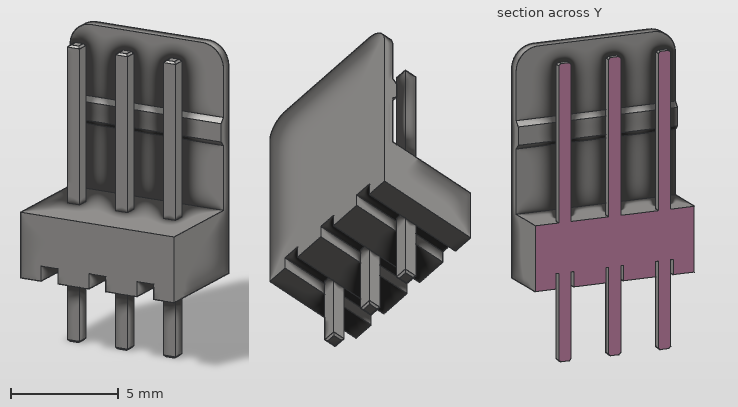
import cadquery as cq

pin_count = 3
pin_pitch = 2.54
pin_size = 0.64
pin_tip_chamfer = 0.1
pin_below_body = 3.54
pin_length = 14.42

body_width = 8.13
body_depth = 5.3
body_height = 3.2
body_back = 2.65
body_front = body_back - body_depth

slot_width = 0.89
slot_height = 0.74

wall_top = 11.2
wall_thickness = 0.52
wall_corner_radius = 1.12
wall_front = body_back - wall_thickness

ridge_bottom = 6.35
ridge_top = 7.72
ridge_depth = 0.24

pin_positions = [(i - (pin_count - 1) / 2) * pin_pitch for i in range(pin_count)]


def make_body():
    """Rectangular block that holds the pins, slotted underneath from front to back."""
    body = cq.Workplane("XY").box(body_width, body_depth, body_height, centered=(True, False, False))
    body = body.translate((0, body_front, 0))
    for x in pin_positions:
        slot = cq.Workplane("XY").box(slot_width, body_depth, slot_height, centered=(True, False, False))
        body = body.cut(slot.translate((x, body_front, 0)))
    return body


def make_wall():
    """Upright plate with rounded top corners, starting on top of the body."""
    wall_height = wall_top - body_height
    wall = cq.Workplane("XY").box(body_width, wall_thickness, wall_height, centered=(True, False, False))
    wall = wall.edges("|Y and >Z").fillet(wall_corner_radius)
    return wall.translate((0, wall_front, body_height))


def make_ridge():
    """Ridge along the full wall width, with 45 degree slopes above and below its flat face."""
    ridge_face = wall_front - ridge_depth
    profile = [
        (wall_front, ridge_bottom),
        (ridge_face, ridge_bottom + ridge_depth),
        (ridge_face, ridge_top - ridge_depth),
        (wall_front, ridge_top),
    ]
    return cq.Workplane("YZ").polyline(profile).close().extrude(body_width / 2, both=True)


def make_pin(x):
    """Square pin through the body, chamfered at both tips."""
    pin = cq.Workplane("XY").box(pin_size, pin_size, pin_length, centered=(True, True, False))
    pin = pin.faces("<Z or >Z").edges().chamfer(pin_tip_chamfer)
    return pin.translate((x, 0, -pin_below_body))


result = make_body().union(make_wall()).union(make_ridge())
for pin_x in pin_positions:
    result = result.union(make_pin(pin_x))